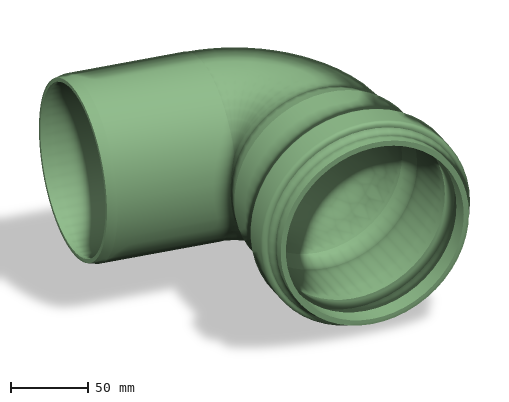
import cadquery as cq
import math


BEND_ANGLE = 87.5
BEND_RADIUS = 57.8
BEND_DIAMETER = 125.0
BORE_DIAMETER = 117.0

OVERALL_LENGTH = 225.0
SPIGOT_DIAMETER = 125.5
SPIGOT_CHAMFER_LENGTH = 6.8
SPIGOT_CHAMFER_DEPTH = 1.5

SOCKET_DIAMETER = 133.2
SOCKET_BORE = 126.0
RING_DIAMETER = 147.8
RING_GROOVE_DIAMETER = 140.2
SHOULDER_DIAMETER = 140.2
LIP_DIAMETER = 133.5

NECK_END = 5.6
FLARE_END = 19.8
RING_START = 60.8
RING_END = 82.5
SHOULDER_END = 87.0
MOUTH = 95.2

RING_FILLET = 2.7
WALL = (RING_DIAMETER - RING_GROOVE_DIAMETER) / 2

TILT = math.radians(90 - BEND_ANGLE)
RING_TOP = (
    BEND_RADIUS * math.cos(TILT)
    + (RING_END - RING_FILLET) * math.sin(TILT)
    + (RING_DIAMETER / 2 - RING_FILLET) * math.cos(TILT)
    + RING_FILLET
)
SPIGOT_LENGTH = OVERALL_LENGTH - RING_TOP


def turned(profile):
    """Revolve (distance along X, diameter) stations about the X axis."""
    points = [(station, diameter / 2) for station, diameter in profile]
    first, last = points[0][0], points[-1][0]
    outline = [(first, 0)] + points + [(last, 0)]
    return cq.Workplane("XY").polyline(outline).close().revolve(360, (0, 0, 0), (1, 0, 0))


def along_spigot(solid):
    """Turn the X axis to point along -Y."""
    return solid.rotate((0, 0, 0), (0, 0, 1), -90)


def along_socket(solid):
    """Place a turned solid at the end of the bend, on the socket axis."""
    end_x = BEND_RADIUS * (1 - math.sin(TILT))
    end_y = BEND_RADIUS * math.cos(TILT)
    return solid.rotate((0, 0, 0), (0, 0, 1), 90 - BEND_ANGLE).translate((end_x, end_y, 0))


def bend(diameter):
    """Sweep a circle round the bend, trimmed at the bend axis where it would overlap itself."""
    radius = diameter / 2
    trim_height = math.sqrt(radius**2 - BEND_RADIUS**2)
    profile = (
        cq.Workplane("XZ")
        .moveTo(BEND_RADIUS, -trim_height)
        .threePointArc((-radius, 0), (BEND_RADIUS, trim_height))
        .close()
    )
    return profile.revolve(BEND_ANGLE, (BEND_RADIUS, 2.2, 0), (BEND_RADIUS, 0, 0))


def spigot_body():
    tip_diameter = SPIGOT_DIAMETER - 2 * SPIGOT_CHAMFER_DEPTH
    return along_spigot(turned([
        (0, SPIGOT_DIAMETER),
        (SPIGOT_LENGTH - SPIGOT_CHAMFER_LENGTH, SPIGOT_DIAMETER),
        (SPIGOT_LENGTH, tip_diameter),
    ]))


def socket_body():
    tube = turned([
        (0, BEND_DIAMETER),
        (NECK_END, BEND_DIAMETER),
        (FLARE_END, SOCKET_DIAMETER),
        (RING_END, SOCKET_DIAMETER),
        (RING_END, SHOULDER_DIAMETER),
        (SHOULDER_END, LIP_DIAMETER),
        (MOUTH, LIP_DIAMETER),
    ])
    ring = turned([(RING_START, RING_DIAMETER), (RING_END, RING_DIAMETER)])
    ring = ring.edges("%CIRCLE").fillet(RING_FILLET)
    return along_socket(tube.union(ring))


def socket_cavity():
    return along_socket(turned([
        (0, BORE_DIAMETER),
        (NECK_END, BORE_DIAMETER),
        (FLARE_END, SOCKET_BORE),
        (RING_START + WALL, SOCKET_BORE),
        (RING_START + WALL, RING_GROOVE_DIAMETER),
        (RING_END - WALL, RING_GROOVE_DIAMETER),
        (SHOULDER_END - WALL, SOCKET_BORE),
        (MOUTH, SOCKET_BORE),
    ]))


spigot_bore = along_spigot(turned([(0, BORE_DIAMETER), (SPIGOT_LENGTH, BORE_DIAMETER)]))
body = bend(BEND_DIAMETER).union(spigot_body()).union(socket_body())
cavity = bend(BORE_DIAMETER).union(spigot_bore).union(socket_cavity())

result = body.cut(cavity)